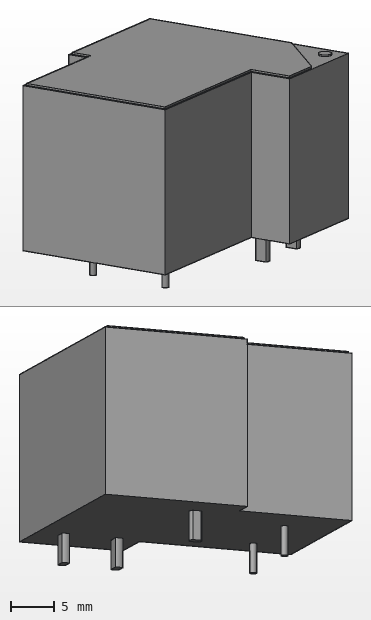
import cadquery as cq

case_width = 27.08
case_length = 31.6
total_height = 23.5
pin_length = 3.48
lid_height = 0.22
case_height = total_height - pin_length - lid_height

neck_left = 2.5
neck_right = 21.87
left_ear_length = 17.63
right_ear_length = 12.83

lid_inset_x = 0.25
lid_inset_y = 0.35
lid_corner_cut = 7.3

marker_diameter = 1.55
marker_from_right = 1.95
marker_from_back = 2.0
marker_height = 0.2

coil_pin_diameter = 0.82
coil_pin_x = (8.22, 18.08)
coil_pin_from_back = 25.47

side_pin_thickness = 0.92
side_pin_length = 1.65
side_pin_end_bulge = 0.13
side_pin_x = 21.65
side_pins_from_back = (3.35, 9.95)

common_pin_thickness = 1.07
common_pin_length = 1.52
common_pin_end_bulge = 0.25
common_pin_x = 4.68
common_pin_from_back = 13.02


def case_profile(inset_x=0.0, inset_y=0.0):
    """Closed T-shaped outline on the XY plane, drawn in from the walls by the insets."""
    left = inset_x
    right = case_width - inset_x
    back = -inset_y
    front = -case_length + inset_y
    return cq.Workplane("XY").polyline(
        [
            (left, back),
            (right, back),
            (right, -right_ear_length + inset_y),
            (neck_right - inset_x, -right_ear_length + inset_y),
            (neck_right - inset_x, front),
            (neck_left + inset_x, front),
            (neck_left + inset_x, -left_ear_length + inset_y),
            (left, -left_ear_length + inset_y),
        ]
    ).close()


def make_lid():
    """T-shaped plate on the case top, without its back right corner."""
    plate = case_profile(lid_inset_x, lid_inset_y).extrude(lid_height)
    right = case_width - lid_inset_x
    back = -lid_inset_y
    corner = (
        cq.Workplane("XY")
        .polyline([(right, back), (right - lid_corner_cut, back), (right, back - lid_corner_cut)])
        .close()
        .extrude(lid_height)
    )
    return plate.cut(corner).translate((0, 0, case_height))


def make_marker():
    """Round marker on the bare corner of the case top."""
    return (
        cq.Workplane("XY", origin=(case_width - marker_from_right, -marker_from_back, case_height))
        .circle(marker_diameter / 2)
        .extrude(marker_height)
    )


def make_coil_pin(x, from_back):
    """Round pin below the case."""
    return (
        cq.Workplane("XY", origin=(x, -from_back, 0))
        .circle(coil_pin_diameter / 2)
        .extrude(-pin_length)
    )


def make_contact_pin(x, from_back, length, thickness, end_bulge, turn=0):
    """Pin with flat sides and arc ends; its length lies along X before it is turned about Z."""
    half_length = length / 2
    half_flat = half_length - end_bulge
    half_thickness = thickness / 2
    return (
        cq.Workplane("XY")
        .moveTo(-half_flat, -half_thickness)
        .lineTo(half_flat, -half_thickness)
        .threePointArc((half_length, 0), (half_flat, half_thickness))
        .lineTo(-half_flat, half_thickness)
        .threePointArc((-half_length, 0), (-half_flat, -half_thickness))
        .close()
        .extrude(-pin_length)
        .rotate((0, 0, 0), (0, 0, 1), turn)
        .translate((x, -from_back, 0))
    )


result = case_profile().extrude(case_height)
result = result.union(make_lid())
result = result.union(make_marker())

for pin_x in coil_pin_x:
    result = result.union(make_coil_pin(pin_x, coil_pin_from_back))

for pin_from_back in side_pins_from_back:
    side_pin = make_contact_pin(
        side_pin_x, pin_from_back, side_pin_length, side_pin_thickness, side_pin_end_bulge
    )
    result = result.union(side_pin)

common_pin = make_contact_pin(
    common_pin_x,
    common_pin_from_back,
    common_pin_length,
    common_pin_thickness,
    common_pin_end_bulge,
    turn=90,
)
result = result.union(common_pin)